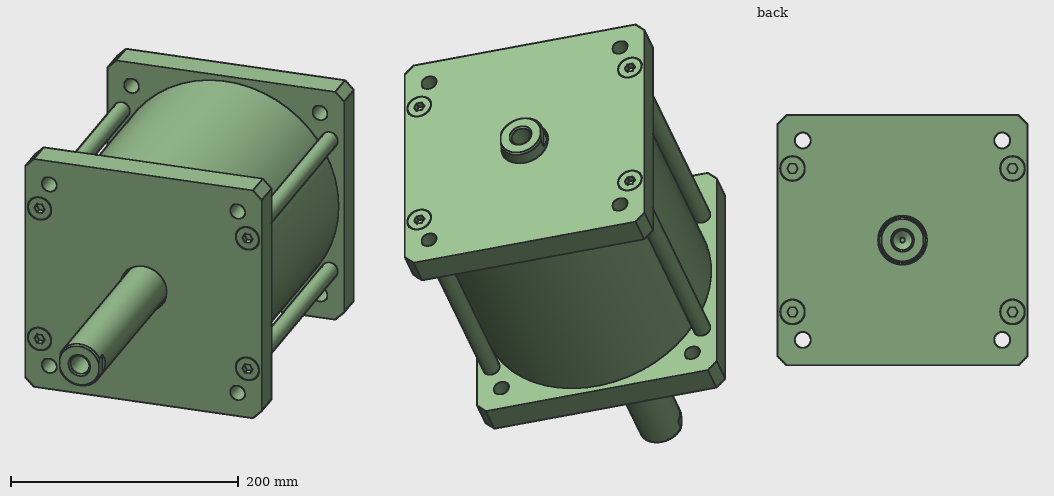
import cadquery as cq
import math

plate_size = 220.0
plate_thickness = 26.5
plate_chamfer = 8.0
shaft_bore_dia = 43.0

body_dia = 210.0
overall_length = 431.0
front_shaft_length = 172.0
rear_shaft_length = 12.0

mount_hole_dia = 14.0
mount_hole_offset = 87.5

rod_dia = 15.0
rod_x = 96.5
rod_z = 63.0

screw_head_dia = 21.0
counterbore_dia = 22.0
counterbore_depth = 12.0
socket_across_flats = 8.0
socket_depth = 6.0

shaft_dia = 40.0
shaft_chamfer = 1.5
flat_across = 36.0
flat_length = 10.0
flat_runout_angle = 45.0

center_hole_dia = 17.2
center_hole_depth = 34.5
countersink_dia = 20.3
drill_point_angle = 118.0

front_face = front_shaft_length
rear_face = overall_length - rear_shaft_length
body_length = rear_face - front_face - 2 * plate_thickness
body_start = front_face + plate_thickness
body_end = body_start + body_length

mount_points = [(sx * mount_hole_offset, sz * mount_hole_offset) for sx in (-1, 1) for sz in (-1, 1)]
rod_points = [(sx * rod_x, sz * rod_z) for sx in (-1, 1) for sz in (-1, 1)]


def section_at(y):
    """Sketch plane across the axis at height y; extrusions run toward +Y."""
    return cq.Workplane(cq.Plane(origin=(0, y, 0), xDir=(1, 0, 0), normal=(0, 1, 0)))


def make_plate(inner_face_y, outward):
    """End plate whose outer side faces outward (-1 for -Y, 1 for +Y)."""
    thickness = outward * plate_thickness
    outer_face_y = inner_face_y + thickness
    plate = section_at(inner_face_y).rect(plate_size, plate_size).extrude(thickness)
    plate = plate.edges("|Y").chamfer(plate_chamfer)
    plate = plate.cut(section_at(inner_face_y).circle(shaft_bore_dia / 2).extrude(thickness))
    mount_holes = section_at(inner_face_y).pushPoints(mount_points)
    plate = plate.cut(mount_holes.circle(mount_hole_dia / 2).extrude(thickness))

    rings = section_at(outer_face_y).pushPoints(rod_points).circle(counterbore_dia / 2)
    rings = rings.circle(screw_head_dia / 2).extrude(-outward * counterbore_depth)
    socket_across_corners = socket_across_flats / math.cos(math.pi / 6)
    sockets = section_at(outer_face_y).pushPoints(rod_points)
    sockets = sockets.polygon(6, socket_across_corners).extrude(-outward * socket_depth)
    return plate.cut(rings).cut(sockets)


def make_center_hole():
    """Countersunk blind hole with a drill point, entering at Y = 0."""
    radius = center_hole_dia / 2
    sink_radius = countersink_dia / 2
    point_length = radius / math.tan(math.radians(drill_point_angle / 2))
    profile = cq.Workplane("XY").polyline([
        (0, 0),
        (sink_radius, 0),
        (radius, sink_radius - radius),
        (radius, center_hole_depth),
        (0, center_hole_depth + point_length),
    ]).close()
    return profile.revolve(360, (0, 0), (0, 1))


def make_end_cut():
    """Material removed at the Y = 0 shaft end: two side flats with sloped runouts and the center hole."""
    half_across = flat_across / 2
    runout_rise = shaft_dia / 2
    runout_length = runout_rise / math.tan(math.radians(flat_runout_angle))
    flat_profile = cq.Workplane("XY").polyline([
        (half_across, 0),
        (half_across, flat_length),
        (half_across + runout_rise, flat_length + runout_length),
        (half_across + runout_rise, 0),
    ]).close()
    flat = flat_profile.extrude(shaft_dia, both=True)
    flats = flat.union(flat.mirror("YZ"))
    return flats.union(make_center_hole())


def make_shaft():
    """Full-length shaft with the same machining at both ends."""
    shaft = section_at(0).circle(shaft_dia / 2).extrude(overall_length)
    shaft = shaft.faces("<Y or >Y").chamfer(shaft_chamfer)
    front_cut = make_end_cut()
    rear_cut = front_cut.mirror("XZ").translate((0, overall_length, 0))
    return shaft.cut(front_cut).cut(rear_cut)


body = section_at(body_start).circle(body_dia / 2).extrude(body_length)
tie_rods = section_at(body_start).pushPoints(rod_points).circle(rod_dia / 2).extrude(body_length)

result = (
    body.union(tie_rods)
    .union(make_plate(body_start, -1))
    .union(make_plate(body_end, 1))
    .union(make_shaft())
)